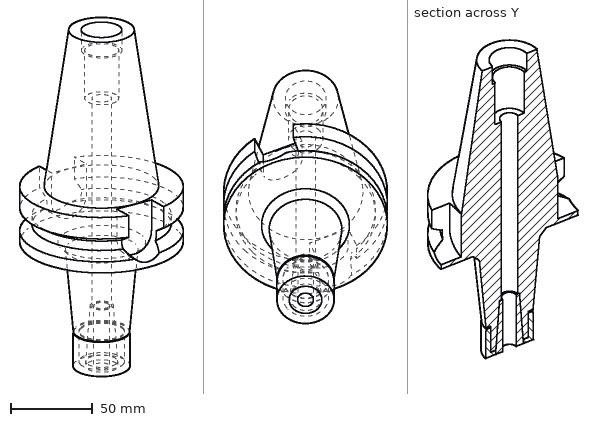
import cadquery as cq


TAPER_LENGTH = 101.8
TAPER_RATIO = 7 / 24
GAUGE_RADIUS = 69.9 / 2
TAPER_TOP_RADIUS = GAUGE_RADIUS - TAPER_LENGTH * TAPER_RATIO / 2

FLANGE_RADIUS = 100.0 / 2
FLANGE_TOP_Z = -1.5
UPPER_RIM_HEIGHT = 14.2
GROOVE_SLOPE_HEIGHT = 4.5
GROOVE_FLOOR_HEIGHT = 6.2
GROOVE_FLOOR_RADIUS = 85.2 / 2
LOWER_RIM_HEIGHT = 7.3
GROOVE_TOP_Z = FLANGE_TOP_Z - UPPER_RIM_HEIGHT
GROOVE_FLOOR_TOP_Z = GROOVE_TOP_Z - GROOVE_SLOPE_HEIGHT
GROOVE_FLOOR_BOTTOM_Z = GROOVE_FLOOR_TOP_Z - GROOVE_FLOOR_HEIGHT
GROOVE_BOTTOM_Z = GROOVE_FLOOR_BOTTOM_Z - GROOVE_SLOPE_HEIGHT
FLANGE_BOTTOM_Z = GROOVE_BOTTOM_Z - LOWER_RIM_HEIGHT

SLOT_WIDTH = 25.7
SLOT_DEPTH = 32.8
SLOT_FACE_X = 35.3

COLLAR_TOP_RADIUS = 26.8
SHANK_TOP_RADIUS = 22.2
SHANK_BOTTOM_RADIUS = 17.3
COLLAR_HEIGHT = 4.7
COLLAR_BOTTOM_Z = FLANGE_BOTTOM_Z - COLLAR_HEIGHT
BOTTOM_Z = -120.0

NUT_RADIUS = 17.5
NUT_HEIGHT = 22.5
NUT_CHAMFER_WIDTH = 0.5
NUT_CHAMFER_HEIGHT = 1.8
NUT_GAP = 0.7
NUT_END_WALL = 3.0
NOSE_RADIUS = 14.0
NUT_TOP_Z = BOTTOM_Z + NUT_HEIGHT
SHANK_BOTTOM_Z = NUT_TOP_Z + NUT_GAP
NOSE_BOTTOM_Z = BOTTOM_Z + NUT_END_WALL

COUNTERBORE_RADIUS = 12.5
COUNTERBORE_DEPTH = 13.3
THREAD_BORE_RADIUS = 10.5
THREAD_BORE_DEPTH = 45.0
COOLANT_BORE_RADIUS = 6.0

COLLET_LENGTH = 40
COLLET_TOP_RADIUS = 7.0
COLLET_BOTTOM_RADIUS = 10.0
COLLET_BORE_RADIUS = 4.9
COLLET_TOP_Z = BOTTOM_Z + COLLET_LENGTH


def turned(outline):
    """Solid of revolution about Z from a closed (radius, height) outline."""
    return cq.Workplane("XZ").polyline(outline).close().revolve(360, (0, 0, 0), (0, 1, 0))


def vertical_cylinder(radius, bottom_z, top_z):
    return cq.Workplane("XY").workplane(offset=bottom_z).circle(radius).extrude(top_z - bottom_z)


def make_collet_envelope():
    """Outer shape of the collet, which is also the seat it fills."""
    return turned([
        (0, COLLET_TOP_Z),
        (COLLET_TOP_RADIUS, COLLET_TOP_Z),
        (COLLET_BOTTOM_RADIUS, BOTTOM_Z),
        (0, BOTTOM_Z),
    ])


def make_holder_blank():
    """Outer shape of the taper, flange, shank and nose."""
    return turned([
        (0, TAPER_LENGTH),
        (TAPER_TOP_RADIUS, TAPER_LENGTH),
        (GAUGE_RADIUS, 0),
        (GAUGE_RADIUS, FLANGE_TOP_Z),
        (FLANGE_RADIUS, FLANGE_TOP_Z),
        (FLANGE_RADIUS, GROOVE_TOP_Z),
        (GROOVE_FLOOR_RADIUS, GROOVE_FLOOR_TOP_Z),
        (GROOVE_FLOOR_RADIUS, GROOVE_FLOOR_BOTTOM_Z),
        (FLANGE_RADIUS, GROOVE_BOTTOM_Z),
        (FLANGE_RADIUS, FLANGE_BOTTOM_Z),
        (COLLAR_TOP_RADIUS, FLANGE_BOTTOM_Z),
        (SHANK_TOP_RADIUS, COLLAR_BOTTOM_Z),
        (SHANK_BOTTOM_RADIUS, SHANK_BOTTOM_Z),
        (NOSE_RADIUS, SHANK_BOTTOM_Z),
        (NOSE_RADIUS, NOSE_BOTTOM_Z),
        (0, NOSE_BOTTOM_Z),
    ])


def make_holder_bore():
    """Counterbore, thread bore and coolant bore as one stepped cutter."""
    counterbore_floor_z = TAPER_LENGTH - COUNTERBORE_DEPTH
    thread_bore_floor_z = TAPER_LENGTH - THREAD_BORE_DEPTH
    counterbore = vertical_cylinder(COUNTERBORE_RADIUS, counterbore_floor_z, TAPER_LENGTH)
    thread_bore = vertical_cylinder(THREAD_BORE_RADIUS, thread_bore_floor_z, TAPER_LENGTH)
    coolant_bore = vertical_cylinder(COOLANT_BORE_RADIUS, COLLET_TOP_Z, TAPER_LENGTH)
    return counterbore.union(thread_bore).union(coolant_bore)


def make_drive_slot(side):
    """Cutter for one round-ended slot; side is -1 for -X and +1 for +X."""
    half_width = SLOT_WIDTH / 2
    slot_bottom_z = FLANGE_TOP_Z - SLOT_DEPTH
    arc_start_z = slot_bottom_z + half_width
    return (
        cq.Workplane("YZ")
        .workplane(offset=side * SLOT_FACE_X)
        .moveTo(-half_width, FLANGE_TOP_Z)
        .lineTo(-half_width, arc_start_z)
        .threePointArc((0, slot_bottom_z), (half_width, arc_start_z))
        .lineTo(half_width, FLANGE_TOP_Z)
        .close()
        .extrude(side * (FLANGE_RADIUS - SLOT_FACE_X))
    )


def make_holder():
    holder = make_holder_blank().cut(make_holder_bore()).cut(make_collet_envelope())
    for side in (-1, 1):
        holder = holder.cut(make_drive_slot(side))
    return holder


def make_nut():
    """Cup-shaped nut around the nose, with the collet passing through its end wall."""
    nut = turned([
        (NOSE_RADIUS, NUT_TOP_Z),
        (NUT_RADIUS - NUT_CHAMFER_WIDTH, NUT_TOP_Z),
        (NUT_RADIUS, NUT_TOP_Z - NUT_CHAMFER_HEIGHT),
        (NUT_RADIUS, BOTTOM_Z),
        (0, BOTTOM_Z),
        (0, NOSE_BOTTOM_Z),
        (NOSE_RADIUS, NOSE_BOTTOM_Z),
    ])
    return nut.cut(make_collet_envelope())


def make_collet():
    bore = vertical_cylinder(COLLET_BORE_RADIUS, BOTTOM_Z, COLLET_TOP_Z)
    return make_collet_envelope().cut(bore)


holder = make_holder()
nut = make_nut()
collet = make_collet()

result = cq.Compound.makeCompound([holder.val(), nut.val(), collet.val()])